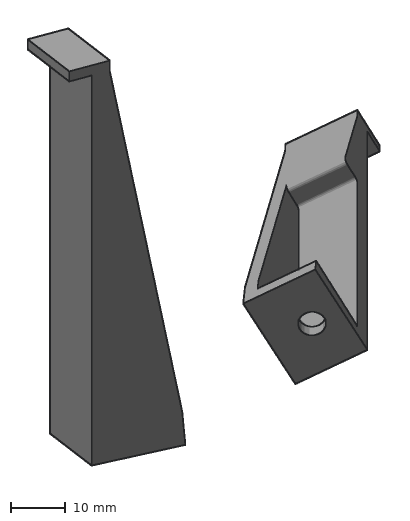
import cadquery as cq

width = 15.0
depth = 24.65
height = 83.0

lip_reach = 4.7
lip_thickness = 2.1
column_thickness = 3.9
taper_top_z = 80.7

foot_back_y = depth - lip_reach
front_bottom_z = 0.9
heel_y = 19.25
heel_z = 7.0

side_wall = 2.8
pocket_floor_z = 3.7
pocket_top_z = 57.2
inner_corner_radius = 0.8
outer_corner_radius = 1.0

hole_diameter = 5.1
hole_x = (width - side_wall) / 2
hole_y = 10.0


def make_body():
    """Side outline, including the lip, extruded across the full width."""
    outline = [
        (0, front_bottom_z),
        (foot_back_y, 0),
        (heel_y, heel_z),
        (column_thickness, taper_top_z),
        (column_thickness, height),
        (-lip_reach, height),
        (-lip_reach, height - lip_thickness),
        (0, height - lip_thickness),
    ]
    return cq.Workplane("YZ").polyline(outline).close().extrude(width)


def make_pocket():
    """Pocket volume with a rounded upper inside corner."""
    return (
        cq.Workplane("XY")
        .box(
            width - side_wall,
            foot_back_y - column_thickness,
            pocket_top_z - pocket_floor_z,
            centered=False,
        )
        .translate((0, column_thickness, pocket_floor_z))
        .edges("|X and >Z and <Y")
        .fillet(inner_corner_radius)
    )


def round_pocket_lip(body):
    """Round the edge where the pocket ceiling meets the tapered back."""
    taper_run = heel_y - column_thickness
    taper_rise = taper_top_z - heel_z
    edge_y = column_thickness + taper_run * (taper_top_z - pocket_top_z) / taper_rise
    edge_point = ((width - side_wall) / 2, edge_y, pocket_top_z)
    ceiling_edge = cq.selectors.NearestToPointSelector(edge_point)
    return body.edges("|X").edges(ceiling_edge).fillet(outer_corner_radius)


def make_hole():
    """Vertical cylinder that passes through the foot into the open pocket."""
    return (
        cq.Workplane("XY")
        .center(hole_x, hole_y)
        .circle(hole_diameter / 2)
        .extrude((pocket_floor_z + pocket_top_z) / 2)
    )


result = round_pocket_lip(make_body().cut(make_pocket())).cut(make_hole())